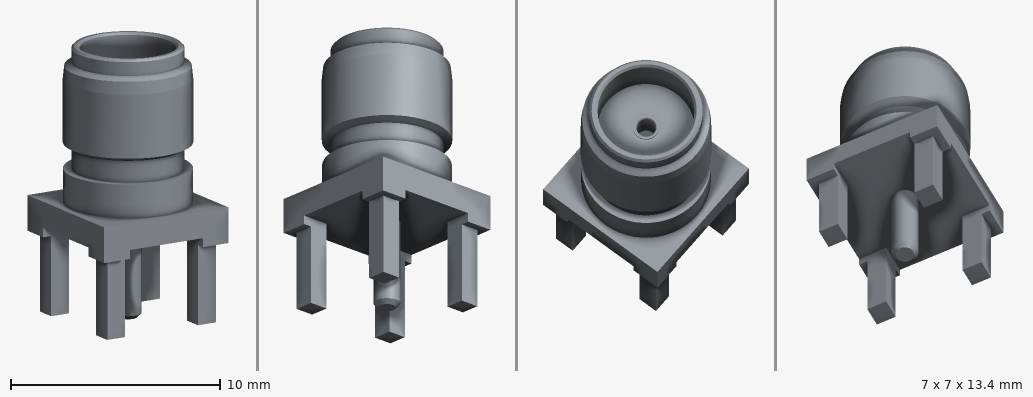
import cadquery as cq

height = 13.45
plate_side = 7.0
plate_bottom = 3.97
plate_top = 5.73
relief_top = 4.41
leg_inner = 2.05
leg_outer = 3.05

collar_radius = 3.11
collar_top = 7.38
neck_radius = 2.7
body_radius = 3.12
neck_top = 8.46
body_bottom = 8.68
body_top = 11.85
shoulder_radius = 3.05
shoulder_bottom = 12.47
shoulder_top = 12.65
rim_chamfer = 0.11

bore_radius = 2.31
bore_floor = 11.47
contact_radius = 0.62
contact_height = 0.05
contact_top = bore_floor + contact_height
contact_hole_radius = 0.46
contact_hole_depth = 1.35
hole_chamfer = 0.05

pin_radius = 0.65
pin_chamfer = 0.22


def revolve_profile(points):
    """Turn a closed (radius, height) outline about the Z axis."""
    profile = cq.Workplane("XZ").polyline(points).close()
    return profile.revolve(360, (0, 0, 0), (0, 1, 0))


def make_plate():
    """Square plate with a cross-shaped relief that leaves a pad in each corner."""
    plate = cq.Workplane("XY").workplane(offset=plate_bottom).rect(plate_side, plate_side)
    plate = plate.extrude(plate_top - plate_bottom)
    for size_x, size_y in ((plate_side, 2 * leg_inner), (2 * leg_inner, plate_side)):
        relief = cq.Workplane("XY").workplane(offset=plate_bottom).rect(size_x, size_y)
        plate = plate.cut(relief.extrude(relief_top - plate_bottom))
    return plate


def make_legs():
    """Four square legs, one under each corner pad."""
    leg_width = leg_outer - leg_inner
    leg_spacing = leg_outer + leg_inner
    legs = cq.Workplane("XY").rarray(leg_spacing, leg_spacing, 2, 2).rect(leg_width, leg_width)
    return legs.extrude(relief_top)


def make_body():
    """Stepped round body with the open socket at its top."""
    return revolve_profile([
        (0, relief_top),
        (neck_radius, relief_top),
        (neck_radius, plate_top),
        (collar_radius, plate_top),
        (collar_radius, collar_top),
        (neck_radius, collar_top),
        (neck_radius, neck_top),
        (body_radius, body_bottom),
        (body_radius, body_top),
        (shoulder_radius, shoulder_bottom),
        (neck_radius, shoulder_top),
        (neck_radius, height - rim_chamfer),
        (neck_radius - rim_chamfer, height),
        (bore_radius + rim_chamfer, height),
        (bore_radius, height - rim_chamfer),
        (bore_radius, bore_floor),
        (0, bore_floor),
    ])


def make_pin():
    """Round solder pin with a chamfered tip."""
    pin = cq.Workplane("XY").circle(pin_radius).extrude(relief_top)
    return pin.faces("<Z").chamfer(pin_chamfer)


def add_contact(part):
    """Low contact ring on the socket floor, with a blind hole."""
    ring = cq.Workplane("XY").workplane(offset=bore_floor).circle(contact_radius)
    ring = ring.extrude(contact_height)
    hole = revolve_profile([
        (0, contact_top - contact_hole_depth),
        (contact_hole_radius, contact_top - contact_hole_depth),
        (contact_hole_radius, contact_top - hole_chamfer),
        (contact_hole_radius + hole_chamfer, contact_top),
        (0, contact_top),
    ])
    return part.union(ring).cut(hole)


base = make_plate().union(make_legs()).union(make_pin())
result = add_contact(base.union(make_body()))